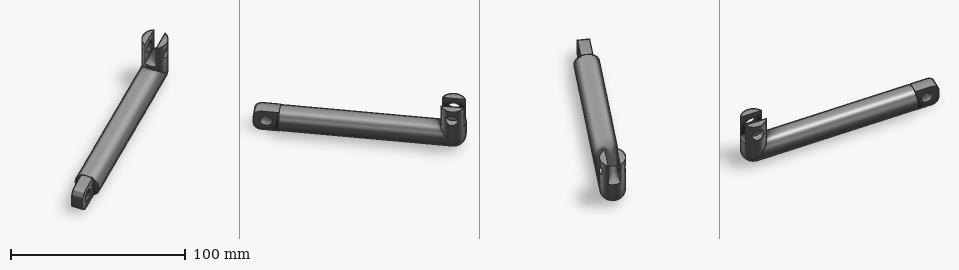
import cadquery as cq

overall_length = 122.5
overall_height = 32.5
rod_diameter = 15.0
blade_thickness = 7.0
corner_radius = 5.0
pin_diameter = 7.5

rod_radius = rod_diameter / 2
blade_end_y = rod_radius - overall_length
blade_length = rod_diameter
arm_length = -blade_end_y - blade_length
post_top_z = overall_height - rod_radius
slot_depth = rod_diameter
pin_edge_distance = rod_radius


def pin_hole(y, z):
    """Cylinder along X that cuts a pin hole right through the part."""
    return (
        cq.Workplane("YZ")
        .center(y, z)
        .circle(pin_diameter / 2)
        .extrude(rod_diameter, both=True)
    )


def round_elbow():
    """Horizontal arm and vertical post joined by a ball of the same radius."""
    arm = cq.Workplane("XZ").circle(rod_radius).extrude(arm_length)
    post = cq.Workplane("XY").circle(rod_radius).extrude(post_top_z)
    ball = cq.Workplane("XY").sphere(rod_radius)
    return arm.union(post).union(ball)


def end_blade():
    """Flat blade on the arm's end, with its two outer corners rounded."""
    return (
        cq.Workplane("XY")
        .box(blade_thickness, blade_length, rod_diameter)
        .edges("|X and <Y")
        .fillet(corner_radius)
        .translate((0, blade_end_y + blade_length / 2, 0))
    )


def fork_slot():
    """Slot that splits the top of the post into two cheeks."""
    return (
        cq.Workplane("XY")
        .box(blade_thickness, rod_diameter, slot_depth)
        .translate((0, 0, post_top_z - slot_depth / 2))
    )


result = (
    round_elbow()
    .union(end_blade())
    .cut(fork_slot())
    .cut(pin_hole(0, post_top_z - pin_edge_distance))
    .cut(pin_hole(blade_end_y + pin_edge_distance, 0))
)